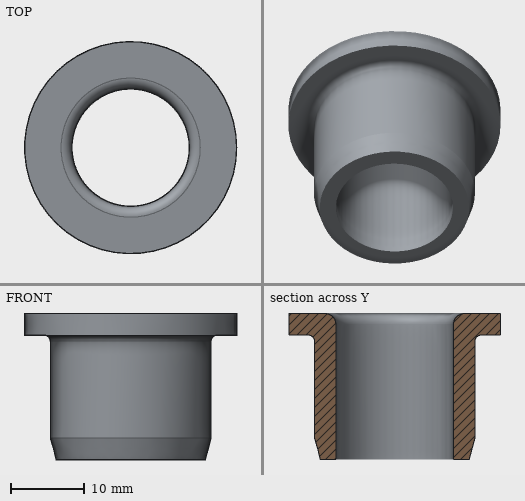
import cadquery as cq
import math

flange_diameter = 29
body_diameter = 22.0
bore_diameter = 16.0
total_height = 20
flange_thickness = 3.0
lead_in_height = 3.0
lead_in_angle = 15
mouth_radius = 1.5
neck_fillet_radius = 0.8

flange_radius = flange_diameter / 2
body_radius = body_diameter / 2
bore_radius = bore_diameter / 2
tip_radius = body_radius - lead_in_height * math.tan(math.radians(lead_in_angle))
flange_bottom = total_height - flange_thickness
diagonal = math.sqrt(0.5)

mouth_center_x = bore_radius + mouth_radius
mouth_center_z = total_height - mouth_radius
mouth_middle = (
    mouth_center_x - mouth_radius * diagonal,
    mouth_center_z + mouth_radius * diagonal,
)

neck_center_x = body_radius + neck_fillet_radius
neck_center_z = flange_bottom - neck_fillet_radius
neck_middle = (
    neck_center_x - neck_fillet_radius * diagonal,
    neck_center_z + neck_fillet_radius * diagonal,
)

half_section = (
    cq.Workplane("XZ")
    .moveTo(bore_radius, 0)
    .lineTo(tip_radius, 0)
    .lineTo(body_radius, lead_in_height)
    .lineTo(body_radius, neck_center_z)
    .threePointArc(neck_middle, (neck_center_x, flange_bottom))
    .lineTo(flange_radius, flange_bottom)
    .lineTo(flange_radius, total_height)
    .lineTo(mouth_center_x, total_height)
    .threePointArc(mouth_middle, (bore_radius, mouth_center_z))
    .close()
)

result = half_section.revolve(360, (0, 0, 0), (0, 1, 0))